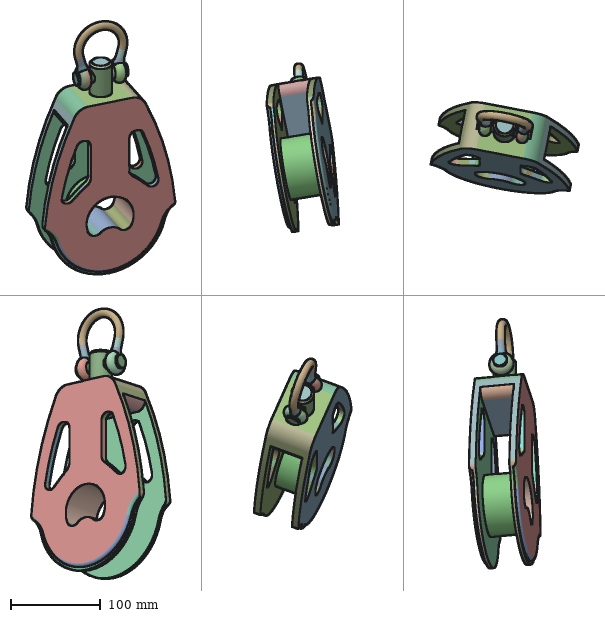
import cadquery as cq
import math

HEIGHT = 307.3
WIDTH = 53.5
PLATE = 7.7
LIP = 4.0
RIM_RADIUS = 69.8
STEP_RADIUS = 66.0
STEP_ROUND = 3.5
SELECT_MARGIN = 0.3
GAP = WIDTH - 2 * PLATE
TOP_Z = 149.0

TOP_CORNER = (26.7, TOP_Z)
TOP_CORNER_MID = (36.5, 146.0)
SHOULDER = (44.0, 136.7)
SIDE_MID = (65.5, 80.0)
HIP_TOP = (79.0, 7.5)
HIP_MID = (78.7, 3.7)
HIP_BOTTOM = (76.8, 0.5)
LIP_WAIST = (71.3, -7.0)
LIP_JOIN_Z = -16.0
STEP_WAIST = (68.2, -8.0)
STEP_JOIN_Z = -18.7

CROWN_BOTTOM = 115.5
CROWN_EDGE_Z = 127.0
CROWN_EDGE_Y = 48.5

HUB_DIAMETER = 69.8
BORE_RADIUS = 28.5
LOBE_RADIUS = 9.2
LOBE_CENTER = (17.8, -7.5)
LOBE_END_ANGLE = -125
BUMP_TOP = (0, -9.8)

WINDOW_TOP = (32.3, 97.7)
WINDOW_TOP_RADIUS = 9.0
WINDOW_TOP_END_ANGLE = 18
WINDOW_FOOT = (51.3, 38.7)
WINDOW_FOOT_RADIUS = 7.5
WINDOW_FOOT_START_ANGLE = 12
WINDOW_FOOT_END_ANGLE = -132
WINDOW_OUTER_MID = (51.3, 70.5)
WINDOW_INNER_Y = 23.5
WINDOW_BEND_TOP = (WINDOW_INNER_Y, 56.2)
WINDOW_BEND_MID = (25.5, 51.5)
WINDOW_BEND_BOTTOM = (29.2, 48.2)
WINDOW_FLOOR = (35.5, 43.0)

POST_DIAMETER = 25.5
POST_TOP = 187.5
POST_ROOT = 3.0
POST_CHAMFER = 2.8
PIN_DIAMETER = 15.5
PIN_LENGTH = 60.8
PIN_Z = 171.5
EYE_Y = 21.2
EYE_TUBE_RADIUS = 6.5
EYE_DIAMETER = 27.7
BOW_TUBE_RADIUS = 5.0
BOW_TOP = HEIGHT - RIM_RADIUS
BOW_RADIUS = 27.0
BOW_CENTER_Z = BOW_TOP - BOW_TUBE_RADIUS - BOW_RADIUS
LEG_END = (EYE_Y, 180.0)
NECK_RADIUS = 6.8
NECK_LENGTH = 8.5


def mirrored(point):
    """Reflect a (y, z) point to the other side of the part."""
    return (-point[0], point[1])


def polar(center, radius, degrees):
    """Point on a circle, with the angle counted from +Y towards +Z."""
    angle = math.radians(degrees)
    return (center[0] + radius * math.cos(angle), center[1] + radius * math.sin(angle))


def plate_layer(x_start, thickness, radius, waist, join_z):
    """One layer of a side plate, with a round bottom of the given radius."""
    join = (math.sqrt(radius**2 - join_z**2), join_z)
    return (
        cq.Workplane("YZ", origin=(x_start, 0, 0))
        .moveTo(*mirrored(TOP_CORNER))
        .lineTo(*TOP_CORNER)
        .threePointArc(TOP_CORNER_MID, SHOULDER)
        .threePointArc(SIDE_MID, HIP_TOP)
        .threePointArc(HIP_MID, HIP_BOTTOM)
        .threePointArc(waist, join)
        .threePointArc((0, -radius), mirrored(join))
        .threePointArc(mirrored(waist), mirrored(HIP_BOTTOM))
        .threePointArc(mirrored(HIP_MID), mirrored(HIP_TOP))
        .threePointArc(mirrored(SIDE_MID), mirrored(SHOULDER))
        .threePointArc(mirrored(TOP_CORNER_MID), mirrored(TOP_CORNER))
        .close()
        .extrude(thickness)
    )


def side_plate():
    """Plate on the +X side: an inner lip and a smaller, rounded outer step."""
    lip = plate_layer(GAP / 2, LIP, RIM_RADIUS, LIP_WAIST, LIP_JOIN_Z)
    step_start = GAP / 2 + LIP
    step = plate_layer(step_start, PLATE - LIP, STEP_RADIUS, STEP_WAIST, STEP_JOIN_Z)
    outer_x = WIDTH / 2
    below_hips = cq.selectors.BoxSelector(
        (outer_x - SELECT_MARGIN, -HIP_BOTTOM[0], -RIM_RADIUS),
        (outer_x + SELECT_MARGIN, HIP_BOTTOM[0], STEP_WAIST[1] / 2),
    )
    step = step.edges(below_hips).fillet(STEP_ROUND)
    return lip.union(step)


def crown():
    """Solid head joining the plates, with rounded lower corners."""
    full_outline = plate_layer(-GAP / 2, GAP, RIM_RADIUS, LIP_WAIST, LIP_JOIN_Z)
    head = (
        cq.Workplane("XY", origin=(0, 0, CROWN_BOTTOM))
        .rect(GAP, 2 * CROWN_EDGE_Y)
        .extrude(TOP_Z - CROWN_BOTTOM)
        .edges("|X and <Z")
        .fillet(CROWN_EDGE_Z - CROWN_BOTTOM)
    )
    return full_outline.intersect(head)


def bore():
    """Round bore whose floor is raised by a bump between two lobes."""
    lobe_angle = math.degrees(math.atan2(LOBE_CENTER[1], LOBE_CENTER[0]))
    lobe_start = polar((0, 0), BORE_RADIUS, lobe_angle)
    lobe_mid = polar(LOBE_CENTER, LOBE_RADIUS, -90)
    lobe_end = polar(LOBE_CENTER, LOBE_RADIUS, LOBE_END_ANGLE)
    return (
        cq.Workplane("YZ", origin=(-WIDTH / 2, 0, 0))
        .moveTo(*mirrored(lobe_start))
        .threePointArc((0, BORE_RADIUS), lobe_start)
        .threePointArc(lobe_mid, lobe_end)
        .threePointArc(BUMP_TOP, mirrored(lobe_end))
        .threePointArc(mirrored(lobe_mid), mirrored(lobe_start))
        .close()
        .extrude(WIDTH)
    )


def window():
    """Tapered window through both plates on the +Y side."""
    top_inner = (WINDOW_INNER_Y, WINDOW_TOP[1])
    return (
        cq.Workplane("YZ", origin=(-WIDTH / 2, 0, 0))
        .moveTo(*top_inner)
        .threePointArc(
            polar(WINDOW_TOP, WINDOW_TOP_RADIUS, 90),
            polar(WINDOW_TOP, WINDOW_TOP_RADIUS, WINDOW_TOP_END_ANGLE),
        )
        .threePointArc(WINDOW_OUTER_MID, polar(WINDOW_FOOT, WINDOW_FOOT_RADIUS, WINDOW_FOOT_START_ANGLE))
        .threePointArc(
            polar(WINDOW_FOOT, WINDOW_FOOT_RADIUS, -60),
            polar(WINDOW_FOOT, WINDOW_FOOT_RADIUS, WINDOW_FOOT_END_ANGLE),
        )
        .lineTo(*WINDOW_FLOOR)
        .lineTo(*WINDOW_BEND_BOTTOM)
        .threePointArc(WINDOW_BEND_MID, WINDOW_BEND_TOP)
        .close()
        .extrude(WIDTH)
    )


def hub():
    return cq.Workplane("YZ", origin=(-GAP / 2, 0, 0)).circle(HUB_DIAMETER / 2).extrude(GAP)


def post():
    return (
        cq.Workplane("XY", origin=(0, 0, TOP_Z - POST_ROOT))
        .circle(POST_DIAMETER / 2)
        .extrude(POST_TOP - TOP_Z + POST_ROOT)
        .faces(">Z")
        .chamfer(POST_CHAMFER)
    )


def pin():
    return (
        cq.Workplane("XZ", origin=(0, 0, PIN_Z))
        .circle(PIN_DIAMETER / 2)
        .extrude(PIN_LENGTH / 2, both=True)
    )


def eye(y):
    """Doughnut-shaped eye around the pin."""
    ring_radius = EYE_DIAMETER / 2 - EYE_TUBE_RADIUS
    torus = cq.Solid.makeTorus(
        ring_radius, EYE_TUBE_RADIUS, cq.Vector(0, y, PIN_Z), cq.Vector(0, 1, 0)
    )
    return cq.Workplane(obj=torus)


def bow():
    """Round bar bent into a loop, with straight legs tangent to it."""
    center = (0, BOW_CENTER_Z)
    leg_y = LEG_END[0]
    leg_drop = LEG_END[1] - BOW_CENTER_Z
    leg_angle = math.atan2(leg_drop, leg_y)
    tangent_angle = leg_angle + math.acos(BOW_RADIUS / math.hypot(leg_y, leg_drop))
    tangent = polar(center, BOW_RADIUS, math.degrees(tangent_angle))
    path = (
        cq.Workplane("YZ")
        .moveTo(*LEG_END)
        .lineTo(*tangent)
        .threePointArc((0, BOW_CENTER_Z + BOW_RADIUS), mirrored(tangent))
        .lineTo(*mirrored(LEG_END))
    )
    along_leg = cq.Vector(0, tangent[0] - LEG_END[0], tangent[1] - LEG_END[1])
    start = cq.Plane(origin=(0, *LEG_END), xDir=(1, 0, 0), normal=along_leg)
    bar = cq.Workplane(start).circle(BOW_TUBE_RADIUS).sweep(path)
    neck = cq.Workplane(
        obj=cq.Solid.makeCone(
            NECK_RADIUS, BOW_TUBE_RADIUS, NECK_LENGTH, cq.Vector(0, *LEG_END), along_leg
        )
    )
    return bar.union(neck).union(neck.mirror("XZ"))


plate = side_plate()
block = (
    plate.union(plate.mirror("YZ"))
    .union(crown())
    .union(hub())
    .cut(bore())
    .cut(window())
    .cut(window().mirror("XZ"))
)
shackle = pin().union(eye(EYE_Y)).union(eye(-EYE_Y)).union(bow())
result = block.union(post()).union(shackle)